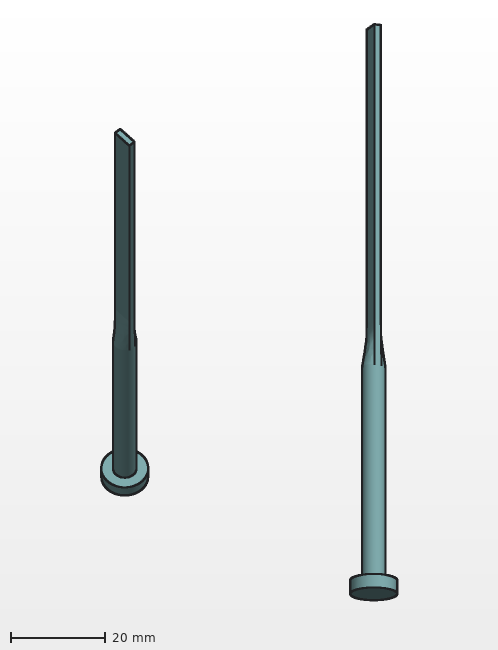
import cadquery as cq
import math

total_length = 125.0
head_diameter = 10.0
head_thickness = 3.0
shaft_diameter = 5.0
shaft_top = 50.0
transition_length = 10.0
blade_width = 4.5
blade_thickness = 1.5

shaft_radius = shaft_diameter / 2
blade_base = shaft_top + transition_length
blade_length = total_length - blade_base


def corner_split_circle():
    """Shaft outline split into four arcs, one facing each side of the blade."""
    corner_angle = math.atan2(blade_thickness, blade_width)
    x = shaft_radius * math.cos(corner_angle)
    y = shaft_radius * math.sin(corner_angle)
    outline = (
        cq.Workplane("XY", origin=(0, 0, shaft_top))
        .moveTo(-x, -y)
        .threePointArc((0, -shaft_radius), (x, -y))
        .threePointArc((shaft_radius, 0), (x, y))
        .threePointArc((0, shaft_radius), (-x, y))
        .threePointArc((-shaft_radius, 0), (-x, -y))
        .close()
    )
    return outline.val()


def blade_outline():
    """Rectangular blade section, starting at the same corner as the circle."""
    x = blade_width / 2
    y = blade_thickness / 2
    outline = (
        cq.Workplane("XY", origin=(0, 0, blade_base))
        .polyline([(-x, -y), (x, -y), (x, y), (-x, y)])
        .close()
    )
    return outline.val()


head = cq.Workplane("XY").circle(head_diameter / 2).extrude(head_thickness)

shaft = cq.Workplane("XY").circle(shaft_radius).extrude(shaft_top)

transition = cq.Workplane(cq.Solid.makeLoft([corner_split_circle(), blade_outline()], True))

blade = (
    cq.Workplane("XY", origin=(0, 0, blade_base))
    .rect(blade_width, blade_thickness)
    .extrude(blade_length)
)

result = head.union(shaft).union(transition).union(blade)